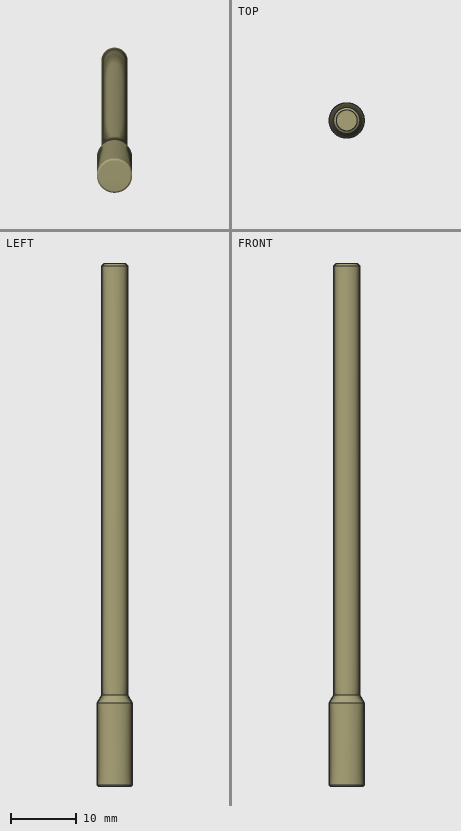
import cadquery as cq

total_length = 80.0
rod_radius = 4.0 / 2
head_radius = 5.41 / 2
head_length = 14.0
shoulder_height = 1.2
rod_tip_chamfer = 0.4
head_base_chamfer = 0.25


def revolve_outline(points):
    """Solid of revolution about Z from (radius, height) points."""
    outline = cq.Workplane("XZ").polyline(points).close()
    return outline.revolve(360, (0, 0, 0), (0, 1, 0))


def make_head():
    """Thick lower head: small bottom chamfer and a cone that narrows to the rod."""
    return revolve_outline([
        (0, 0),
        (head_radius - head_base_chamfer, 0),
        (head_radius, head_base_chamfer),
        (head_radius, head_length - shoulder_height),
        (rod_radius, head_length),
        (0, head_length),
    ])


def make_rod():
    """Plain round rod standing on the head, chamfered at its free end."""
    rod = cq.Workplane("XY", origin=(0, 0, head_length))
    rod = rod.circle(rod_radius).extrude(total_length - head_length)
    return rod.faces(">Z").chamfer(rod_tip_chamfer)


head = make_head()
rod = make_rod()

result = cq.Compound.makeCompound([head.val(), rod.val()])